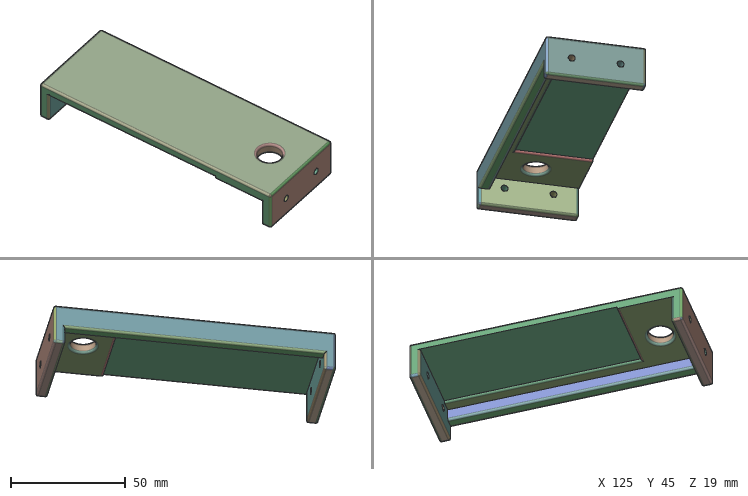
import cadquery as cq
import math

length = 125.0
width = 45.0
height = 19.0
edge_radius = 1.0

plate_thickness = 5.0
leg_thickness = 5.0
rib_thickness = 5.0
rib_height = 11.0

recess_depth = edge_radius
recess_right_x = 32.5
recess_to_rib = 5.0

cable_hole_diameter = 11.4
cable_hole_x = 45.5
screw_hole_diameter = 3.0
screw_hole_spacing = 22.0
screw_hole_z = height / 2

front_y = -width / 2
rear_y = width / 2
leg_inner_x = length / 2 - leg_thickness
underside_z = height - plate_thickness
rib_front_y = rear_y - rib_thickness
rib_bottom_z = height - rib_height
recess_rear_y = rib_front_y - recess_to_rib


def block(x_range, y_range, z_range):
    """Axis-aligned box spanning the given (low, high) ranges."""
    lows, highs = zip(x_range, y_range, z_range)
    sizes = [high - low for low, high in zip(lows, highs)]
    return cq.Workplane("XY").box(*sizes, centered=False).translate(lows)


def make_opening():
    """Space between the legs, cut lower under the rib."""
    leg_gap = (-leg_inner_x, leg_inner_x)
    under_plate = block(leg_gap, (front_y, rib_front_y), (0, underside_z))
    under_rib = block(leg_gap, (rib_front_y, rear_y), (0, rib_bottom_z))
    return under_plate.union(under_rib)


def recess_section(plane, start, end):
    """Recess cross-section, straight at its start and flared round at its end."""
    arc_offset = recess_depth * (1 - math.sqrt(0.5))
    ceiling_z = underside_z + recess_depth
    return (
        cq.Workplane(plane)
        .moveTo(start, underside_z)
        .lineTo(start, ceiling_z)
        .lineTo(end, ceiling_z)
        .threePointArc((end + arc_offset, underside_z + arc_offset), (end + recess_depth, underside_z))
        .close()
        .extrude(length, both=True)
    )


def make_recess():
    """Intersecting both sections leaves a mitred round on the right and rear borders."""
    along_x = recess_section("XZ", -leg_inner_x, recess_right_x)
    along_y = recess_section("YZ", front_y, recess_rear_y)
    return along_x.intersect(along_y)


def round_edges(body):
    """Round the outer edges, leg edges and lower rib edges; the plate's front lower edge stays sharp."""
    end_top_and_foot_edges = body.faces("<X or >X or >Z or <Z").edges()
    leg_edges = body.edges("|Z").edges("<Y or >Y")
    rib_zone = cq.selectors.BoxSelector(
        (-length, rib_front_y - edge_radius, rib_bottom_z - edge_radius),
        (length, rear_y + edge_radius, rib_bottom_z + edge_radius),
    )
    rib_edges = body.edges("|X").edges(rib_zone)
    return end_top_and_foot_edges.add(leg_edges).add(rib_edges).fillet(edge_radius)


def cut_cable_hole(body):
    """Vertical through hole rounded at both rims."""
    cutter = (
        cq.Workplane("XY")
        .center(cable_hole_x, 0)
        .circle(cable_hole_diameter / 2)
        .extrude(height)
    )
    rim_zone = cq.selectors.BoxSelector(
        (cable_hole_x - edge_radius, -edge_radius, underside_z - edge_radius),
        (cable_hole_x + edge_radius, edge_radius, height + edge_radius),
    )
    return body.cut(cutter).edges("%CIRCLE").edges(rim_zone).fillet(edge_radius)


def cut_screw_holes(body):
    """Two holes running lengthwise through both legs."""
    cutter = (
        cq.Workplane("YZ")
        .center(0, screw_hole_z)
        .rarray(screw_hole_spacing, 1.2, 2, 1)
        .circle(screw_hole_diameter / 2)
        .extrude(length, both=True)
    )
    return body.cut(cutter)


envelope = block((-length / 2, length / 2), (front_y, rear_y), (0, height))
bracket = envelope.cut(make_opening()).cut(make_recess())
result = cut_screw_holes(cut_cable_hole(round_edges(bracket)))